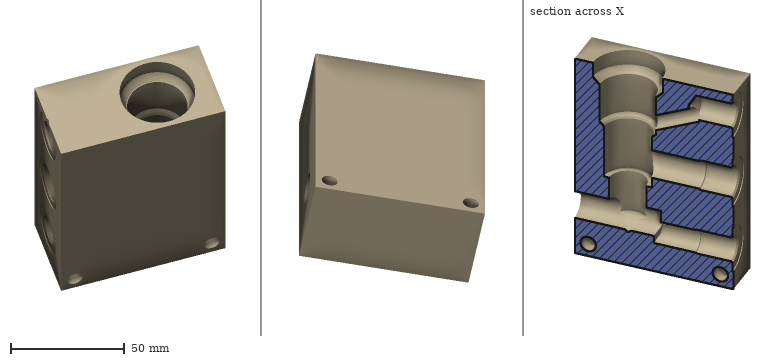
import cadquery as cq
import math

WIDTH = 38.1
DEPTH = 76.2
HEIGHT = 101.6
FRONT_Y = -DEPTH / 2
BACK_Y = DEPTH / 2
TOP_Z = HEIGHT

DRILL_HALF_ANGLE = math.radians(59)

CAVITY_INSET = 25.4
CAVITY_Y = BACK_Y - CAVITY_INSET
MOUTH_RADIUS = 16.7
MOUTH_DEPTH = 7.5
SEAT_RADIUS = 13.75
SEAT_CONE_DEPTH = 2.9
THREAD_RADIUS = 13.4
THREAD_DEPTH = 30.0
GUIDE_TOP_RADIUS = 12.0
GUIDE_RADIUS = 11.4
THREAD_TAPER_DEPTH = 1.2
GUIDE_TAPER_DEPTH = 1.0
GUIDE_DEPTH = 58.0
NOSE_RADIUS = 8.93
NOSE_DEPTH = 78.75

SPOTFACE_DEPTH = 0.4
SMALL_SPOTFACE_RADIUS = 11.2
SMALL_MOUTH_RADIUS = 6.8
SMALL_BORE_RADIUS = 6.1
SMALL_BORE_DEPTH = 18.0
LARGE_SPOTFACE_RADIUS = 12.05
LARGE_MOUTH_RADIUS = 8.6
LARGE_BORE_RADIUS = 7.6
LARGE_BORE_DEPTH = 16.0
LARGE_INNER_RADIUS = 7.1
PORT_TAPER_DEPTH = 0.8
UPPER_PORT_DROP = 11.15
MIDDLE_PORT_DROP = 45.9
LOWER_PORT_DROP = 81.0
UPPER_PORT_Z = TOP_Z - UPPER_PORT_DROP
MIDDLE_PORT_Z = TOP_Z - MIDDLE_PORT_DROP
LOWER_PORT_Z = TOP_Z - LOWER_PORT_DROP
SMALL_BORE_END_Y = FRONT_Y + SMALL_BORE_DEPTH

REAR_BORE_RADIUS = 6.85
REAR_BORE_Z = 25.4
REAR_BORE_FRONT_Y = -3.0

UPPER_DRILL_RADIUS = 3.45
UPPER_DRILL_SLOPE = math.radians(25)
UPPER_DRILL_DROP = 3.75

LOWER_PASSAGE_RADIUS = 5.75
LOWER_PASSAGE_END_Y = 0.0
LOWER_PASSAGE_WALL_RADIUS = GUIDE_RADIUS

MOUNT_RADIUS = 3.57
MOUNT_INSET = 6.35


def drill_tip_depth(radius):
    """Height of the conical end left by a drill."""
    return radius / math.tan(DRILL_HALF_ANGLE)


def turned_cutter(profile):
    """Solid of revolution from (radius, depth) points, axis along -Z from the origin."""
    points = [(radius, -depth) for radius, depth in profile]
    return cq.Workplane("XZ").polyline(points).close().revolve(360, (0, 0, 0), (0, 1, 0))


def cavity_cutter():
    guide_top = THREAD_DEPTH + THREAD_TAPER_DEPTH
    nose_tip = NOSE_DEPTH + drill_tip_depth(NOSE_RADIUS)
    profile = [
        (0, 0),
        (MOUTH_RADIUS, 0),
        (MOUTH_RADIUS, MOUTH_DEPTH),
        (SEAT_RADIUS, MOUTH_DEPTH + SEAT_CONE_DEPTH),
        (THREAD_RADIUS, MOUTH_DEPTH + SEAT_CONE_DEPTH),
        (THREAD_RADIUS, THREAD_DEPTH),
        (GUIDE_TOP_RADIUS, guide_top),
        (GUIDE_RADIUS, guide_top + GUIDE_TAPER_DEPTH),
        (GUIDE_RADIUS, GUIDE_DEPTH),
        (NOSE_RADIUS, GUIDE_DEPTH),
        (NOSE_RADIUS, NOSE_DEPTH),
        (0, nose_tip),
    ]
    return turned_cutter(profile).translate((0, CAVITY_Y, TOP_Z))


def port_cutter(height, spotface_radius, mouth_radius, bore_radius, bore_depth):
    taper_end = SPOTFACE_DEPTH + PORT_TAPER_DEPTH
    profile = [
        (0, 0),
        (spotface_radius, 0),
        (spotface_radius, SPOTFACE_DEPTH),
        (mouth_radius, SPOTFACE_DEPTH),
        (bore_radius, taper_end),
        (bore_radius, bore_depth),
        (0, bore_depth + drill_tip_depth(bore_radius)),
    ]
    cutter = turned_cutter(profile).rotate((0, 0, 0), (1, 0, 0), 90)
    return cutter.translate((0, FRONT_Y, height))


def small_port_cutter(height):
    return port_cutter(height, SMALL_SPOTFACE_RADIUS, SMALL_MOUTH_RADIUS, SMALL_BORE_RADIUS, SMALL_BORE_DEPTH)


def large_port_cutter(height):
    cutter = port_cutter(height, LARGE_SPOTFACE_RADIUS, LARGE_MOUTH_RADIUS, LARGE_BORE_RADIUS, LARGE_BORE_DEPTH)
    passage = cq.Workplane("XZ").circle(LARGE_INNER_RADIUS).extrude(FRONT_Y - CAVITY_Y)
    return cutter.union(passage.translate((0, FRONT_Y, height)))


def rear_bore_cutter():
    length = BACK_Y - REAR_BORE_FRONT_Y
    bore = cq.Workplane("XZ").circle(REAR_BORE_RADIUS).extrude(length)
    return bore.translate((0, BACK_Y, REAR_BORE_Z))


def upper_drill_cutter():
    length = (CAVITY_Y - SMALL_BORE_END_Y) / math.cos(UPPER_DRILL_SLOPE)
    drill = cq.Workplane("XZ").circle(UPPER_DRILL_RADIUS).extrude(-length)
    drill = drill.rotate((0, 0, 0), (1, 0, 0), -math.degrees(UPPER_DRILL_SLOPE))
    return drill.translate((0, SMALL_BORE_END_Y, UPPER_PORT_Z - UPPER_DRILL_DROP))


def lower_passage_cutter():
    length = LOWER_PASSAGE_END_Y - SMALL_BORE_END_Y
    passage = cq.Workplane("XZ").circle(LOWER_PASSAGE_RADIUS).extrude(-length)
    wall = cq.Workplane("XY").circle(LOWER_PASSAGE_WALL_RADIUS).extrude(2 * LOWER_PASSAGE_RADIUS, both=True)
    wall = wall.translate((0, length - LOWER_PASSAGE_WALL_RADIUS, 0))
    return passage.intersect(wall).translate((0, SMALL_BORE_END_Y, LOWER_PORT_Z))


def mount_hole_cutter(y):
    hole = cq.Workplane("YZ").circle(MOUNT_RADIUS).extrude(WIDTH)
    return hole.translate((-WIDTH / 2, y, MOUNT_INSET))


result = cq.Workplane("XY").box(WIDTH, DEPTH, HEIGHT, centered=(True, True, False))
result = result.cut(cavity_cutter())
result = result.cut(large_port_cutter(MIDDLE_PORT_Z))
for port_z in (UPPER_PORT_Z, LOWER_PORT_Z):
    result = result.cut(small_port_cutter(port_z))
result = result.cut(rear_bore_cutter())
result = result.cut(upper_drill_cutter())
result = result.cut(lower_passage_cutter())
for hole_y in (FRONT_Y + MOUNT_INSET, BACK_Y - MOUNT_INSET):
    result = result.cut(mount_hole_cutter(hole_y))